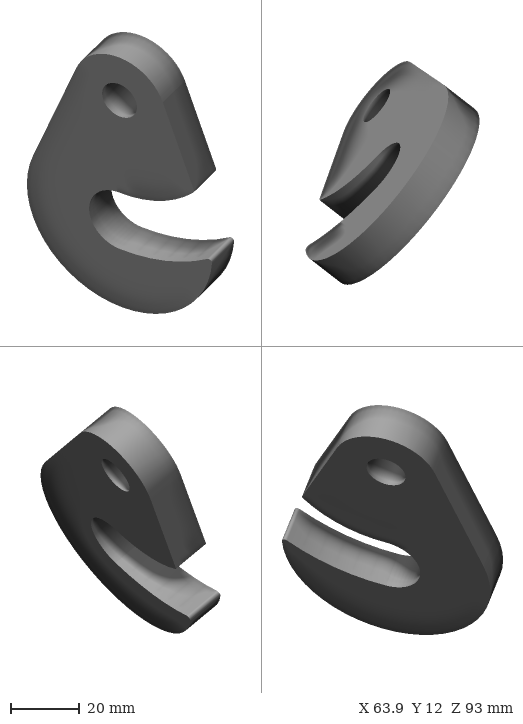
import cadquery as cq
import math

height = 93.0
thickness = 12.0
bowl_radius = 32.0
eye_radius = 16.0
eye_hole_diameter = 12.0
throat_radius = 10.5
upper_lip_radius = 35.0
lower_lip_radius = 54.0
mouth_reach = 33.5
corner_fillet = 1.0

eye_height = height - bowl_radius - eye_radius


def plate(outline):
    """Extrude an XZ outline, centred on Y = 0."""
    return outline.extrude(thickness).translate((0, thickness / 2, 0))


def teardrop():
    """Bowl and eye circles joined by their two outer tangent lines."""
    rise = (bowl_radius - eye_radius) / eye_height
    run = math.sqrt(1 - rise**2)
    bowl_x, bowl_z = bowl_radius * run, bowl_radius * rise
    eye_x, eye_z = eye_radius * run, eye_height + eye_radius * rise
    return plate(
        cq.Workplane("XZ")
        .moveTo(bowl_x, bowl_z)
        .lineTo(eye_x, eye_z)
        .threePointArc((0, eye_height + eye_radius), (-eye_x, eye_z))
        .lineTo(-bowl_x, bowl_z)
        .threePointArc((0, -bowl_radius), (bowl_x, bowl_z))
        .close()
    )


def lip_rise(radius, x):
    """Rise at x of an arc that leaves the throat horizontally and curves upward."""
    return radius - math.sqrt(radius**2 - x**2)


def mouth():
    """Round throat that opens through two upward-curving lips."""
    middle = mouth_reach / 2
    upper_middle = (middle, throat_radius + lip_rise(upper_lip_radius, middle))
    upper_end = (mouth_reach, throat_radius + lip_rise(upper_lip_radius, mouth_reach))
    lower_middle = (middle, -throat_radius + lip_rise(lower_lip_radius, middle))
    lower_end = (mouth_reach, -throat_radius + lip_rise(lower_lip_radius, mouth_reach))
    return plate(
        cq.Workplane("XZ")
        .moveTo(0, throat_radius)
        .threePointArc((-throat_radius, 0), (0, -throat_radius))
        .threePointArc(lower_middle, lower_end)
        .lineTo(*upper_end)
        .threePointArc(upper_middle, (0, throat_radius))
        .close()
    )


def eye_hole():
    return plate(cq.Workplane("XZ").center(0, eye_height).circle(eye_hole_diameter / 2))


hook = teardrop().cut(mouth()).cut(eye_hole())

corner_inner_x = 0.7 * bowl_radius
mouth_corners = cq.selectors.BoxSelector(
    (corner_inner_x, -thickness, -throat_radius),
    (mouth_reach, thickness, eye_height),
)
result = hook.edges("|Y").edges(mouth_corners).fillet(corner_fillet)